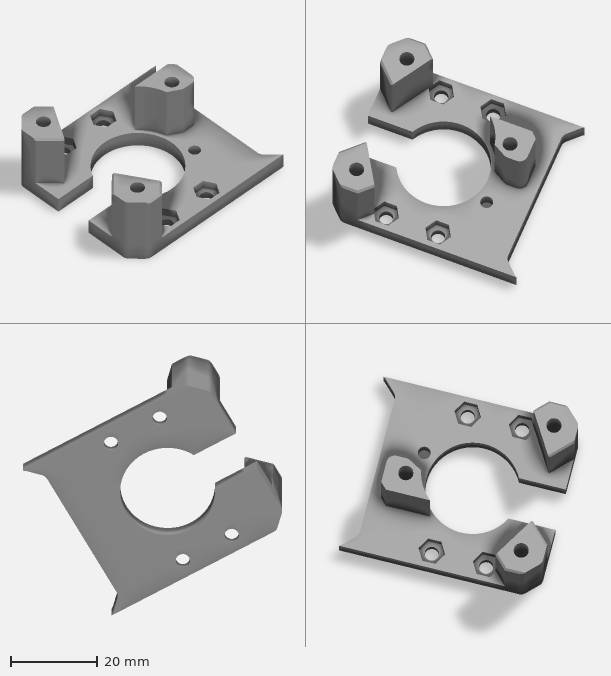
import cadquery as cq
import math

half_width = 21.0
plate_thickness = 4.0
total_height = 18.0
corner_cut = 3.8
corner_radius = 2.0
bore_radius = 11.0
slot_width = 10.0

neighbour_pitch = 44.0
neighbour_clearance = 0.2

screw_x = 17.0
screw_rows_y = (5.5, -7.5)
screw_diameter = 3.3
nut_across_flats = 5.5
nut_depth = 2.2

pin_position = (5.5, 13.0)
pin_diameter = 3.0
pin_depth = 3.0

post_height = total_height - plate_thickness
post_hole_diameter = 3.5
post_bevel = 0.5
bevel_overrun = 1.0

corner_post_hole = (-15.5, -15.5)
corner_post_flank_y = -13.0
corner_post_flank_x = 12.55
corner_post_back_angle = 31.4
corner_post_tip_x = -8.0
corner_post_tip_y = -16.04

back_post_left = -9.0
back_post_right = -0.5
back_post_top = 20.0
back_post_chamfer = 1.5
back_post_radius = 2.0
back_post_clearance = 12.0
back_post_hole = (-4.0, 15.0)
back_post_slope_start_y = 15.25
back_post_slope_end_x = -2.5


def mirrored_pair(shape):
    """The shape together with its mirror image across the YZ plane."""
    return shape.union(shape.mirror("YZ"))


def rounded_square(height):
    """Square body whose four corners are cut at 45 degrees, then rounded."""
    side = 2 * half_width
    return (
        cq.Workplane("XY")
        .rect(side, side)
        .extrude(height)
        .edges("|Z")
        .chamfer(corner_cut)
        .edges("|Z")
        .fillet(corner_radius)
    )


def make_plate():
    """Base plate: rounded front corners, horned back edge, and a bore opening into a front slot."""
    rear = (
        cq.Workplane("XY")
        .center(0, neighbour_pitch / 2)
        .rect(2 * half_width, neighbour_pitch)
        .extrude(plate_thickness)
    )
    neighbour = (
        rounded_square(plate_thickness)
        .faces("<Z")
        .wires()
        .toPending()
        .offset2D(neighbour_clearance)
        .extrude(plate_thickness, combine=False)
    )
    bore = cq.Workplane("XY").circle(bore_radius).extrude(plate_thickness)
    slot = (
        cq.Workplane("XY")
        .center(0, -half_width / 2)
        .rect(slot_width, half_width)
        .extrude(plate_thickness)
    )
    blank = rounded_square(plate_thickness).union(rear)
    return blank.cut(neighbour.translate((0, neighbour_pitch, 0))).cut(bore).cut(slot)


def bevel_cutter(start, end):
    """45 degree wedge along the top of a wall; the body lies left of start -> end."""
    length = math.dist(start, end)
    along = cq.Vector((end[0] - start[0]) / length, (end[1] - start[1]) / length, 0)
    outward = along.cross(cq.Vector(0, 0, 1))
    origin = cq.Vector(start[0], start[1], total_height) - along * bevel_overrun
    plane = cq.Plane(origin=origin, xDir=outward, normal=along)
    return (
        cq.Workplane(plane)
        .moveTo(-post_bevel, 0)
        .lineTo(0, post_bevel)
        .lineTo(post_bevel, post_bevel)
        .lineTo(post_bevel, 0)
        .close()
        .extrude(length + 2 * bevel_overrun)
    )


def make_corner_post():
    """Front left post, following the plate's rounded corner."""
    slope = math.tan(math.radians(corner_post_back_angle))
    side = (-half_width, corner_post_flank_y)
    front = (-corner_post_flank_x, -half_width)
    tip_front = (corner_post_tip_x, -half_width + corner_post_tip_x + corner_post_flank_x)
    tip_back = (corner_post_tip_x, corner_post_tip_y)
    tip_rise = corner_post_tip_y - corner_post_flank_y
    tip_run = corner_post_tip_x + half_width
    peak_rise = (tip_rise + slope * tip_run) / (1 + slope)
    peak = (-half_width + peak_rise, corner_post_flank_y + peak_rise)
    corner = (-half_width, -half_width)
    post = (
        cq.Workplane("XY")
        .polyline([corner, front, tip_front, tip_back, peak, side])
        .close()
        .extrude(total_height)
        .intersect(rounded_square(total_height))
    )
    for start, end in ((front, tip_front), (peak, side), (side, corner)):
        post = post.cut(bevel_cutter(start, end))
    return post


def make_back_post():
    """Post behind the bore, hollowed on a radius around the bore axis."""
    def hollow_point(x):
        return (x, math.sqrt(back_post_clearance**2 - x**2))

    hollow_middle_x = (back_post_left + back_post_slope_end_x) / 2
    blank = (
        cq.Workplane("XY")
        .moveTo(*hollow_point(back_post_left))
        .threePointArc(hollow_point(hollow_middle_x), hollow_point(back_post_slope_end_x))
        .lineTo(back_post_right, back_post_slope_start_y)
        .lineTo(back_post_right, back_post_top)
        .lineTo(back_post_left + back_post_chamfer, back_post_top)
        .lineTo(back_post_left, back_post_top - back_post_chamfer)
        .close()
        .extrude(total_height)
    )
    return blank.faces(">X").edges("|Z").fillet(back_post_radius)


def blind_hole(position, top_z, diameter, depth):
    """Cylinder reaching down from top_z."""
    return (
        cq.Workplane("XY", origin=(position[0], position[1], top_z - depth))
        .circle(diameter / 2)
        .extrude(depth)
    )


def nut_hole(position):
    """Through screw hole with a hexagonal pocket, corners pointing along Y."""
    pocket = (
        cq.Workplane("XY", origin=(position[0], position[1], plate_thickness - nut_depth))
        .polygon(6, nut_across_flats, circumscribed=True)
        .extrude(nut_depth)
    )
    return pocket.union(blind_hole(position, plate_thickness, screw_diameter, plate_thickness))


result = make_plate().union(mirrored_pair(make_corner_post())).union(make_back_post())

for row_y in screw_rows_y:
    result = result.cut(mirrored_pair(nut_hole((-screw_x, row_y))))

corner_holes = mirrored_pair(blind_hole(corner_post_hole, total_height, post_hole_diameter, post_height))
result = result.cut(corner_holes)
result = result.cut(blind_hole(back_post_hole, total_height, post_hole_diameter, post_height))
result = result.cut(blind_hole(pin_position, plate_thickness, pin_diameter, pin_depth))